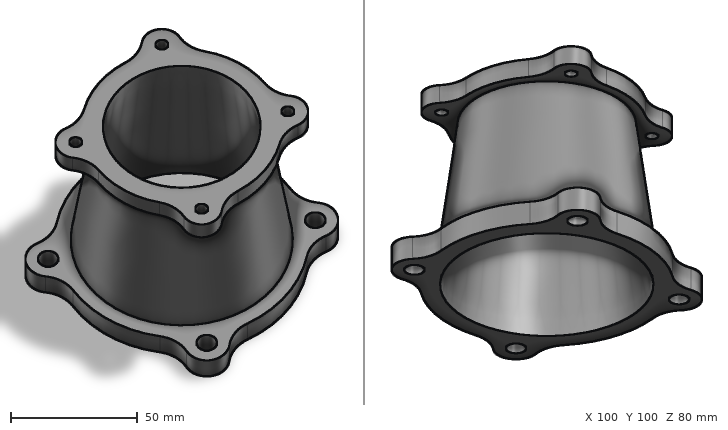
import math

import cadquery as cq

TOTAL_HEIGHT = 80.0
BASE_THICKNESS = 10.0
TOP_THICKNESS = 8.0

BASE_RADIUS = 50.0
BASE_BOLT_RADIUS = 53.5
BASE_EAR_RADIUS = 9.0
BASE_HOLE_DIAMETER = 8.0

TOP_RADIUS = 39.5
TOP_BOLT_RADIUS = 42.5
TOP_EAR_RADIUS = 8.0
TOP_HOLE_DIAMETER = 5.0

BLEND_RADIUS = 15.0
EAR_COUNT = 4
EAR_SPACING = 360.0 / EAR_COUNT
FIRST_EAR_ANGLE = 45.0

BORE_TOP_RADIUS = 31.0
BORE_BASE_RADIUS = 42.0
WALL_THICKNESS = 3.1

EAR_ANGLES = [FIRST_EAR_ANGLE + i * EAR_SPACING for i in range(EAR_COUNT)]


def polar(radius, angle, center=(0.0, 0.0)):
    """Point at a radius and an angle in degrees around a center."""
    direction = math.radians(angle)
    return (
        center[0] + radius * math.cos(direction),
        center[1] + radius * math.sin(direction),
    )


def direction_angle(start, end):
    """Angle in degrees of the direction from one point to another."""
    return math.degrees(math.atan2(end[1] - start[1], end[0] - start[0]))


def midway(start, end, center, radius):
    """Point on the arc about a center, halfway along its shorter side."""
    middle = ((start[0] + end[0]) / 2, (start[1] + end[1]) / 2)
    return polar(radius, direction_angle(center, middle), center)


def flange(rim_radius, bolt_radius, ear_radius, hole_diameter, thickness):
    """Round flange with ears blended tangentially into its rim, drilled at each ear."""
    rim_to_blend = rim_radius + BLEND_RADIUS
    ear_to_blend = ear_radius + BLEND_RADIUS
    blend_offset = math.degrees(
        math.acos(
            (rim_to_blend**2 + bolt_radius**2 - ear_to_blend**2)
            / (2 * rim_to_blend * bolt_radius)
        )
    )

    outline = cq.Workplane("XY").moveTo(*polar(rim_radius, EAR_ANGLES[0] - blend_offset))
    for angle in EAR_ANGLES:
        ear = polar(bolt_radius, angle)
        blend_in = polar(rim_to_blend, angle - blend_offset)
        blend_out = polar(rim_to_blend, angle + blend_offset)
        rim_end = polar(rim_radius, angle - blend_offset)
        ear_start = polar(ear_radius, direction_angle(ear, blend_in), ear)
        ear_end = polar(ear_radius, direction_angle(ear, blend_out), ear)
        rim_start = polar(rim_radius, angle + blend_offset)
        next_rim_end = polar(rim_radius, angle + EAR_SPACING - blend_offset)

        outline = (
            outline.threePointArc(midway(rim_end, ear_start, blend_in, BLEND_RADIUS), ear_start)
            .threePointArc(polar(bolt_radius + ear_radius, angle), ear_end)
            .threePointArc(midway(ear_end, rim_start, blend_out, BLEND_RADIUS), rim_start)
            .threePointArc(polar(rim_radius, angle + EAR_SPACING / 2), next_rim_end)
        )

    plate = outline.close().extrude(thickness)
    holes = (
        cq.Workplane("XY")
        .pushPoints([polar(bolt_radius, angle) for angle in EAR_ANGLES])
        .circle(hole_diameter / 2)
        .extrude(thickness)
    )
    return plate.cut(holes)


def cone(base_radius, top_radius):
    """Full-height cone frustum standing on the base plane."""
    return cq.Workplane(cq.Solid.makeCone(base_radius, top_radius, TOTAL_HEIGHT))


base_flange = flange(
    BASE_RADIUS, BASE_BOLT_RADIUS, BASE_EAR_RADIUS, BASE_HOLE_DIAMETER, BASE_THICKNESS
)
top_flange = flange(
    TOP_RADIUS, TOP_BOLT_RADIUS, TOP_EAR_RADIUS, TOP_HOLE_DIAMETER, TOP_THICKNESS
).translate((0, 0, TOTAL_HEIGHT - TOP_THICKNESS))

wall = cone(BORE_BASE_RADIUS + WALL_THICKNESS, BORE_TOP_RADIUS + WALL_THICKNESS)
bore = cone(BORE_BASE_RADIUS, BORE_TOP_RADIUS)

result = base_flange.union(wall).union(top_flange).cut(bore)